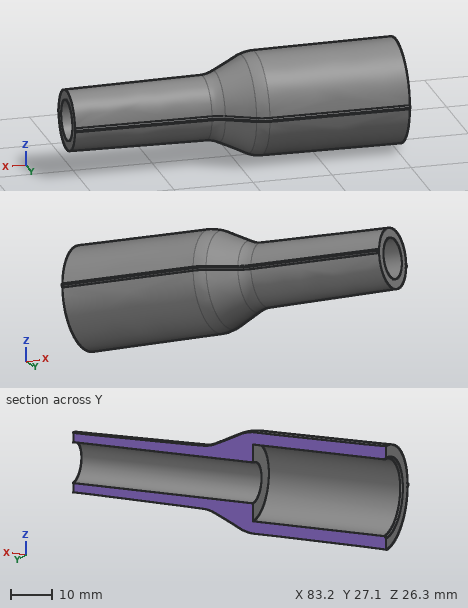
import cadquery as cq
import math

length = 83.2
mouth_radius = 13.15
spigot_end_radius = 7.6

shoulder_start = (37.0, 12.9)
shoulder_end = (47.0, 8.1)
shoulder_rounding = 1.7

socket_bore_radius = 19.3 / 2
lead_in_radius = 20.3 / 2
lead_in_depth = lead_in_radius - socket_bore_radius
spigot_bore_radius = 10.2 / 2
socket_depth = shoulder_start[0] - shoulder_rounding

ridge_height = 0.4
ridge_half_width = 0.5
ridge_root_depth = 0.2

mouth_point = (0, mouth_radius)
end_point = (length, spigot_end_radius)


def point_towards(start, target, distance):
    """Point at a distance from start, on the line to target."""
    reach = distance / math.dist(start, target)
    return tuple(s + reach * (t - s) for s, t in zip(start, target))


def outer_edge(workplane):
    """Outer profile from mouth to spigot end, with tangent arcs at both shoulder corners."""
    first_arc_start = point_towards(shoulder_start, mouth_point, shoulder_rounding)
    first_arc_end = point_towards(shoulder_start, shoulder_end, shoulder_rounding)
    second_arc_start = point_towards(shoulder_end, shoulder_start, shoulder_rounding)
    second_arc_end = point_towards(shoulder_end, end_point, shoulder_rounding)
    return (
        workplane.lineTo(*first_arc_start)
        .tangentArcPoint(first_arc_end, relative=False)
        .lineTo(*second_arc_start)
        .tangentArcPoint(second_arc_end, relative=False)
        .lineTo(*end_point)
    )


def revolve_about_x(sketch):
    return sketch.close().revolve(360, (0, 0, 0), (1, 0, 0))


def outer_body():
    edge = outer_edge(cq.Workplane("XY").lineTo(*mouth_point))
    return revolve_about_x(edge.lineTo(length, 0))


def bore():
    sketch = (
        cq.Workplane("XY")
        .lineTo(0, lead_in_radius)
        .lineTo(lead_in_depth, socket_bore_radius)
        .lineTo(socket_depth, socket_bore_radius)
        .lineTo(socket_depth, spigot_bore_radius)
        .lineTo(length, spigot_bore_radius)
        .lineTo(length, 0)
    )
    return revolve_about_x(sketch)


def ridge():
    """Ridge on the +Y side: a triangle swept along the outer profile."""
    path = outer_edge(cq.Workplane("XY").moveTo(*mouth_point))
    root = mouth_radius - ridge_root_depth
    root_half_width = ridge_half_width * (ridge_height + ridge_root_depth) / ridge_height
    triangle = cq.Workplane("YZ").polyline(
        [
            (root, -root_half_width),
            (mouth_radius + ridge_height, 0),
            (root, root_half_width),
        ]
    )
    return triangle.close().sweep(path)


side_ridge = ridge()
body = outer_body().union(side_ridge).union(side_ridge.mirror("XZ"))
result = body.cut(bore())